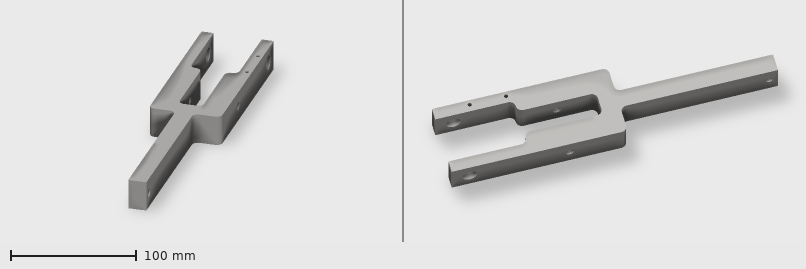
import cadquery as cq

overall_length = 275.0
fork_width = 60.0
thickness = 25.0

fork_length = 145.0
arm_width = 10.0
wide_gap_depth = 65.0
slot_width = 20.0
slot_depth = 130.0

stem_width = 15.0

corner_radius = 5.0

pivot_hole_diameter = 12.0
pivot_hole_from_tip = 15.0
bolt_hole_diameter = 7.0
bolt_hole_from_tip = (wide_gap_depth + slot_depth) / 2
stem_hole_diameter = 6.0
stem_hole_from_end = 7.0

small_hole_diameter = 3.3
small_hole_from_side = 4.0
small_holes_from_tip = (30.0, 60.0)

tip_y = overall_length / 2
stem_end_y = -overall_length / 2
step_y = tip_y - wide_gap_depth
slot_end_y = tip_y - slot_depth
shoulder_y = tip_y - fork_length
outer_x = fork_width / 2
arm_inner_x = outer_x - arm_width
slot_x = slot_width / 2
stem_x = stem_width / 2


def make_half():
    """The +X half of the part, with its outline corners rounded."""
    r = corner_radius
    step_middle_x = (arm_inner_x + slot_x) / 2
    return (
        cq.Workplane("XY")
        .workplane(offset=-thickness / 2)
        .moveTo(0, stem_end_y)
        .lineTo(stem_x, stem_end_y)
        .lineTo(stem_x, shoulder_y - r)
        .radiusArc((stem_x + r, shoulder_y), r)
        .lineTo(outer_x - r, shoulder_y)
        .radiusArc((outer_x, shoulder_y + r), -r)
        .lineTo(outer_x, tip_y)
        .lineTo(arm_inner_x, tip_y)
        .lineTo(arm_inner_x, step_y + r)
        .radiusArc((step_middle_x, step_y), r)
        .radiusArc((slot_x, step_y - r), -r)
        .lineTo(slot_x, slot_end_y + r)
        .radiusArc((slot_x - r, slot_end_y), r)
        .lineTo(0, slot_end_y)
        .close()
        .extrude(thickness)
    )


def make_body():
    """Both halves of the fork and stem, joined on the X = 0 plane."""
    half = make_half()
    return half.union(half.mirror("YZ")).clean()


def cross_hole(y, diameter):
    """Cutter along X at mid-thickness, long enough to cross both arms."""
    return cq.Workplane("YZ").center(y, 0).circle(diameter / 2).extrude(fork_width / 2, both=True)


def small_hole(y):
    """Cutter along Z through the full thickness of the +X arm."""
    x = outer_x - small_hole_from_side
    return cq.Workplane("XY").center(x, y).circle(small_hole_diameter / 2).extrude(thickness / 2, both=True)


result = make_body()
result = result.cut(cross_hole(tip_y - pivot_hole_from_tip, pivot_hole_diameter))
result = result.cut(cross_hole(tip_y - bolt_hole_from_tip, bolt_hole_diameter))
result = result.cut(cross_hole(stem_end_y + stem_hole_from_end, stem_hole_diameter))
for from_tip in small_holes_from_tip:
    result = result.cut(small_hole(tip_y - from_tip))